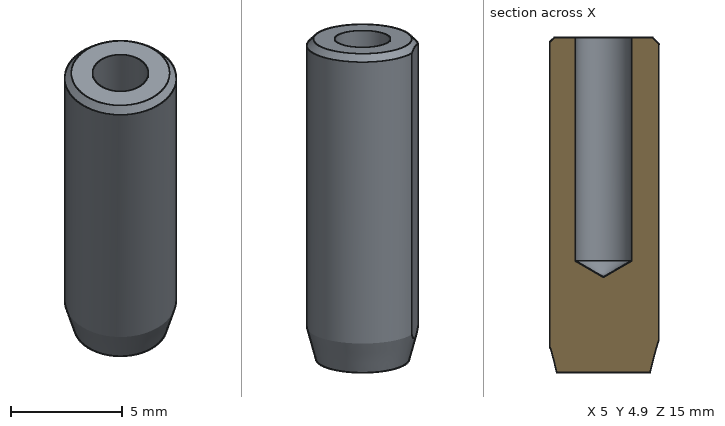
import cadquery as cq
import math


pin_diameter = 5.0
pin_length = 15.0
pin_radius = pin_diameter / 2

taper_length = 1.5
taper_angle = 15.0
taper_end_radius = pin_radius - taper_length * math.tan(math.radians(taper_angle))

chamfer_width = 0.3
chamfer_height = 0.3

hole_diameter = 2.5
hole_depth = 10.0
drill_point_angle = 120.0
hole_radius = hole_diameter / 2
drill_point_height = hole_radius / math.tan(math.radians(drill_point_angle / 2))

flat_depth = 0.1
flat_y = pin_radius - flat_depth


def revolve_about_z(half_profile):
    """Solid of revolution about Z from (radius, height) points."""
    full_turn = 360
    axis_start = (0, 0)
    axis_end = (0, 1)
    return cq.Workplane("XZ").polyline(half_profile).close().revolve(full_turn, axis_start, axis_end)


def make_body():
    """Cylinder with the bottom taper and the top chamfer."""
    return revolve_about_z([
        (0, 0),
        (taper_end_radius, 0),
        (pin_radius, taper_length),
        (pin_radius, pin_length - chamfer_height),
        (pin_radius - chamfer_width, pin_length),
        (0, pin_length),
    ])


def make_hole():
    """Blind hole and its conical drill point."""
    hole_floor = pin_length - hole_depth
    return revolve_about_z([
        (0, pin_length),
        (hole_radius, pin_length),
        (hole_radius, hole_floor),
        (0, hole_floor - drill_point_height),
    ])


def make_flat_cutter():
    """Block that removes everything beyond the venting flat, over the full length."""
    return (
        cq.Workplane("XY")
        .box(pin_diameter, pin_diameter, pin_length, centered=(True, False, False))
        .translate((0, flat_y, 0))
    )


result = make_body().cut(make_hole()).cut(make_flat_cutter())